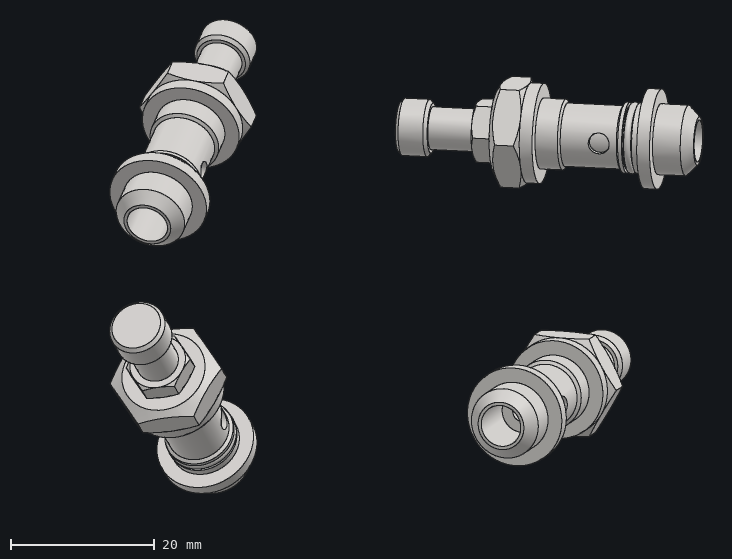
import cadquery as cq
import math

total_length = 42.35

collar_radius = 4.95
neck_radius = 4.45
nose_chamfer = 1.55
neck_start = 10.75
neck_end = 18.7
neck_taper = 0.3

hex_across_flats = 14.0
flange_radius = hex_across_flats / 2
flange_thickness = 1.8
front_flange_start = 5.5
rear_flange_start = 22.2

hex_chamfer_slope = math.tan(math.radians(30))
hex_start = rear_flange_start + flange_thickness
hex_end = 28.5
hex_rear_face_radius = 6.0

shaft_radius = 3.0
head_radius = 4.02
head_start = 37.8
head_chamfer = 0.5
nut_across_flats = 2 * head_radius
nut_end = 31.45

bore_radius = 2.92
bore_depth = 8.45
inner_hole_radius = 1.35
inner_hole_depth = 2.1

cross_hole_radius = 1.5
cross_hole_position = 13.25
cross_hole_floor_radius = 3.6

groove_start = 8.5
groove_end = 9.9
ring_section_radius = 0.5
ring_crest_radius = 5.05
ring_centre_radius = ring_crest_radius - ring_section_radius
ring_position = (groove_start + groove_end) / 2


def turned(outline):
    """Solid of revolution about the Y axis from (radius, position) points."""
    return cq.Workplane("XY").polyline(outline).close().revolve(360, (0, 0, 0), (0, 1, 0))


def cylinder(radius, start, end):
    """Cylinder along the Y axis between two positions."""
    return turned([(0, start), (radius, start), (radius, end), (0, end)])


def chamfered_hexagon(across_flats, start, end, front_face_radius, rear_face_radius):
    """Hexagonal prism along Y, corners on +X and -X, with conical chamfers on both ends."""
    corner_radius = across_flats / 2 / math.cos(math.radians(30))
    front_chamfer = (corner_radius - front_face_radius) * hex_chamfer_slope
    rear_chamfer = (corner_radius - rear_face_radius) * hex_chamfer_slope
    prism = (
        cq.Workplane("XZ", origin=(0, start, 0))
        .polygon(6, 2 * corner_radius)
        .extrude(start - end)
    )
    envelope = turned([
        (0, start),
        (front_face_radius, start),
        (corner_radius, start + front_chamfer),
        (corner_radius, end - rear_chamfer),
        (rear_face_radius, end),
        (0, end),
    ])
    return prism.intersect(envelope)


def make_barrel():
    """Front length with the nose chamfer, the ring groove and the waisted neck."""
    return turned([
        (0, 0),
        (collar_radius - nose_chamfer, 0),
        (collar_radius, nose_chamfer),
        (collar_radius, groove_start),
        (neck_radius, groove_start),
        (neck_radius, groove_end),
        (collar_radius, groove_end),
        (collar_radius, neck_start - neck_taper),
        (neck_radius, neck_start),
        (neck_radius, neck_end),
        (collar_radius, neck_end + neck_taper),
        (collar_radius, hex_start),
        (0, hex_start),
    ])


def make_shaft_and_head():
    """Rear shaft ending in a head that is chamfered at both ends."""
    return turned([
        (0, nut_end),
        (shaft_radius, nut_end),
        (shaft_radius, head_start),
        (head_radius - head_chamfer, head_start),
        (head_radius, head_start + head_chamfer),
        (head_radius, total_length - head_chamfer),
        (head_radius - head_chamfer, total_length),
        (0, total_length),
    ])


def make_bore():
    """Front bore with a smaller hole in its floor."""
    bore = cylinder(bore_radius, 0, bore_depth)
    inner_hole = cylinder(inner_hole_radius, bore_depth, bore_depth + inner_hole_depth)
    return bore.union(inner_hole)


def make_cross_holes():
    """Two opposed holes on the X axis with floors rounded concentrically with the neck."""
    through_hole = (
        cq.Workplane("YZ", origin=(0, cross_hole_position, 0))
        .circle(cross_hole_radius)
        .extrude(collar_radius, both=True)
    )
    return through_hole.cut(cylinder(cross_hole_floor_radius, neck_start, neck_end))


def make_sealing_ring():
    """Round-section ring seated in the groove."""
    return cq.Workplane(
        cq.Solid.makeTorus(
            ring_centre_radius,
            ring_section_radius,
            cq.Vector(0, ring_position, 0),
            cq.Vector(0, 1, 0),
        )
    )


def make_screw(sealing_ring):
    """Hollow flanged screw with its hexagons, shaft and head, recessed to seat the ring."""
    screw = make_barrel()
    for flange_start in (front_flange_start, rear_flange_start):
        screw = screw.union(cylinder(flange_radius, flange_start, flange_start + flange_thickness))
    large_hexagon = chamfered_hexagon(
        hex_across_flats, hex_start, hex_end, flange_radius, hex_rear_face_radius
    )
    small_hexagon = chamfered_hexagon(nut_across_flats, hex_end, nut_end, head_radius, head_radius)
    screw = screw.union(large_hexagon).union(small_hexagon).union(make_shaft_and_head())
    return screw.cut(make_bore()).cut(make_cross_holes()).cut(sealing_ring)


sealing_ring = make_sealing_ring()
screw = make_screw(sealing_ring)
result = cq.Compound.makeCompound([screw.solids().val(), sealing_ring.val()])